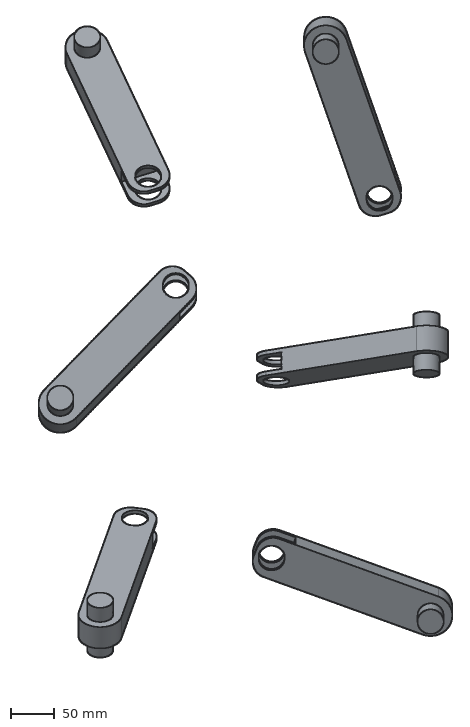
import cadquery as cq

length = 240.0
width = 50.0
arm_height = 30.0
pin_diameter = 30.0
pin_height = 70.0
eye_diameter = 30.0
corner_radius = 20.0
slot_depth = 40.0
slot_height = 20.0

end_radius = width / 2
tip_x = length - end_radius
eye_x = tip_x - corner_radius


def make_arm():
    """Flat arm with a full round at the pin end and rounded corners at the fork end."""
    bar = (
        cq.Workplane("XY")
        .box(tip_x, width, arm_height, centered=(False, True, True))
        .edges("|Z and >X")
        .fillet(corner_radius)
    )
    round_end = cq.Workplane("XY").circle(end_radius).extrude(arm_height / 2, both=True)
    return bar.union(round_end)


def make_pin():
    """Pivot pin standing out equally above and below the arm."""
    return cq.Workplane("XY").circle(pin_diameter / 2).extrude(pin_height / 2, both=True)


def make_fork_slot():
    """Slot open at the tip, leaving two thin cheeks."""
    return (
        cq.Workplane("XY")
        .box(slot_depth, width, slot_height, centered=(False, True, True))
        .translate((tip_x - slot_depth, 0, 0))
    )


def make_eye():
    """Hole through both cheeks."""
    return (
        cq.Workplane("XY")
        .center(eye_x, 0)
        .circle(eye_diameter / 2)
        .extrude(arm_height / 2, both=True)
    )


result = make_arm().union(make_pin()).cut(make_fork_slot()).cut(make_eye())